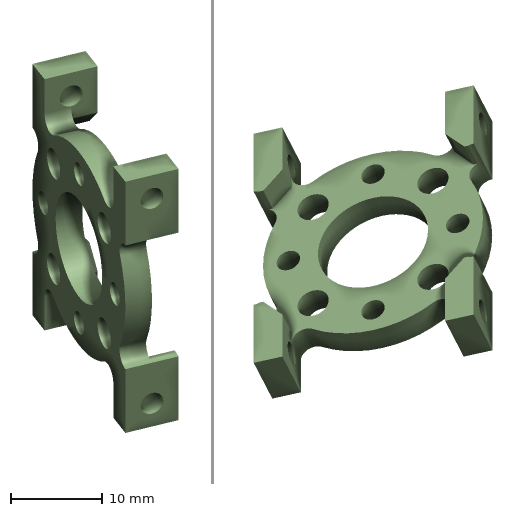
import cadquery as cq
import math

PLATE_RADIUS = 12.7
PLATE_THICKNESS = 3.175
LUG_DEPTH = 2 * PLATE_THICKNESS
PART_HEIGHT = 33.02
LUG_WIDTH = 3.3
LUG_LENGTH = 8.51
BEVEL_WIDTH = 2.2
BEVEL_HEIGHT = 2.45
NOTCH_RADIUS = 1.5875

BORE_DIAMETER = 12.7
BOLT_CIRCLE_RADIUS = 9.779
SMALL_HOLE_DIAMETER = 2.7
LARGE_HOLE_DIAMETER = 3.6
BOLT_HOLE_COUNT = 8
LUG_HOLE_DIAMETER = 2.7
LUG_HOLE_HEIGHT = 13.46

HALF_WIDTH = PLATE_RADIUS
HALF_HEIGHT = PART_HEIGHT / 2
LUG_INNER_X = HALF_WIDTH - LUG_WIDTH

NOTCH_CENTRE_RADIUS = PLATE_RADIUS + NOTCH_RADIUS
SIDE_NOTCH_X = HALF_WIDTH
SIDE_NOTCH_Z = math.sqrt(NOTCH_CENTRE_RADIUS**2 - SIDE_NOTCH_X**2)
END_NOTCH_X = LUG_INNER_X - NOTCH_RADIUS
END_NOTCH_Z = math.sqrt(NOTCH_CENTRE_RADIUS**2 - END_NOTCH_X**2)
NOTCH_TOP_Z = SIDE_NOTCH_Z + NOTCH_RADIUS
LUG_BASE_Z = HALF_HEIGHT - LUG_LENGTH

CORNER_SIGNS = [(sx, sz) for sx in (-1, 1) for sz in (-1, 1)]


def cylinder_y(x, z, radius, depth):
    """Cylinder along +Y from the front face."""
    axis_start = cq.Vector(x, 0, z)
    return cq.Workplane(obj=cq.Solid.makeCylinder(radius, depth, axis_start, cq.Vector(0, 1, 0)))


def prism_y(points, depth):
    """Straight-sided prism along +Y from the front face, from (x, z) points."""
    return cq.Workplane("XZ").polyline(points).close().extrude(-depth)


def corner_web(sx, sz):
    """Material joining the rim to one lug, before its two notches are cut."""
    points = [
        (0, 0),
        (sx * SIDE_NOTCH_X, sz * SIDE_NOTCH_Z),
        (sx * HALF_WIDTH, sz * NOTCH_TOP_Z),
        (sx * LUG_INNER_X, sz * END_NOTCH_Z),
        (sx * END_NOTCH_X, sz * END_NOTCH_Z),
    ]
    return prism_y(points, PLATE_THICKNESS)


def lug(sx, sz):
    """Full-depth rectangular lug whose inner base corner is bevelled behind the plate."""
    points = [
        (sx * HALF_WIDTH, sz * LUG_BASE_Z),
        (sx * HALF_WIDTH, sz * HALF_HEIGHT),
        (sx * LUG_INNER_X, sz * HALF_HEIGHT),
        (sx * LUG_INNER_X, sz * (LUG_BASE_Z + BEVEL_HEIGHT)),
        (sx * (LUG_INNER_X + BEVEL_WIDTH), sz * LUG_BASE_Z),
    ]
    return prism_y(points, LUG_DEPTH)


def notched_body():
    """Round plate with four lugs, blended by tangent notches."""
    body = cylinder_y(0, 0, PLATE_RADIUS, PLATE_THICKNESS)
    for sx, sz in CORNER_SIGNS:
        body = body.union(corner_web(sx, sz)).union(lug(sx, sz))
    for sx, sz in CORNER_SIGNS:
        body = body.cut(cylinder_y(sx * SIDE_NOTCH_X, sz * SIDE_NOTCH_Z, NOTCH_RADIUS, LUG_DEPTH))
        body = body.cut(cylinder_y(sx * END_NOTCH_X, sz * END_NOTCH_Z, NOTCH_RADIUS, LUG_DEPTH))
    return body


def plate_holes():
    """Centre bore and eight bolt holes, the small ones on the X and Z axes."""
    holes = cylinder_y(0, 0, BORE_DIAMETER / 2, PLATE_THICKNESS)
    for index in range(BOLT_HOLE_COUNT):
        angle = 2 * math.pi * index / BOLT_HOLE_COUNT
        diameter = SMALL_HOLE_DIAMETER if index % 2 == 0 else LARGE_HOLE_DIAMETER
        x = BOLT_CIRCLE_RADIUS * math.cos(angle)
        z = BOLT_CIRCLE_RADIUS * math.sin(angle)
        holes = holes.union(cylinder_y(x, z, diameter / 2, PLATE_THICKNESS))
    return holes


def lug_holes():
    """Cross holes along X, confined to the lugs so that the rim stays whole."""
    centres = [(LUG_DEPTH / 2, sz * LUG_HOLE_HEIGHT) for sz in (-1, 1)]
    left_holes = (
        cq.Workplane("YZ", origin=(-HALF_WIDTH, 0, 0))
        .pushPoints(centres)
        .circle(LUG_HOLE_DIAMETER / 2)
        .extrude(LUG_WIDTH)
    )
    return left_holes.union(left_holes.mirror("YZ"))


result = notched_body().cut(plate_holes()).cut(lug_holes())